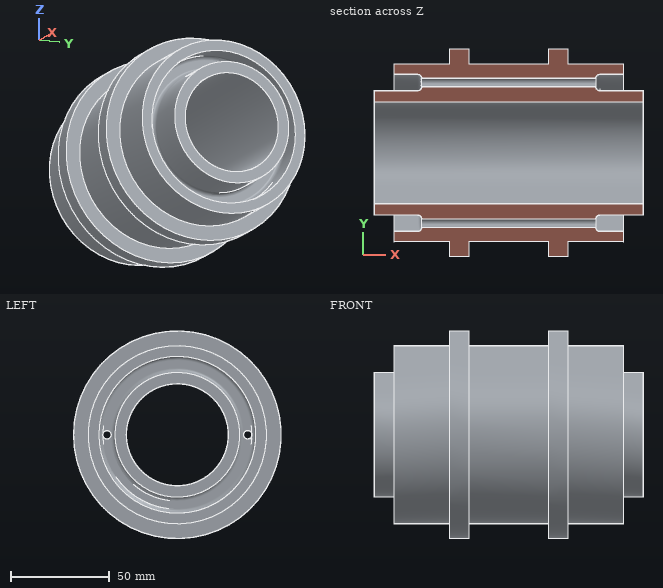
import cadquery as cq

hub_length = 136.0
shell_length = 116.0
flange_width = 10.0
flange_spacing = 50.0
groove_depth = 14.0

bore_diameter = 51.4
hub_diameter = 63.0
groove_outer_diameter = 79.2
shell_diameter = 90.0
flange_diameter = 105.0

hole_diameter = 4.1
groove_width = (groove_outer_diameter - hub_diameter) / 2
fillet_radius = (groove_width - hole_diameter) / 2
hole_circle_radius = (groove_outer_diameter + hub_diameter) / 4


def cylinder(diameter, x_start, length):
    """Solid cylinder about the X axis, growing toward +X."""
    return cq.Workplane("YZ", origin=(x_start, 0, 0)).circle(diameter / 2).extrude(length)


def end_groove(side):
    """Annular cutter for one end of the shell; side is -1 or +1."""
    open_end = side * shell_length / 2
    ring = cylinder(groove_outer_diameter, open_end, -side * groove_depth)
    ring = ring.cut(cylinder(hub_diameter, open_end, -side * groove_depth))
    floor_edges = ring.faces(">X" if side < 0 else "<X").edges()
    return floor_edges.fillet(fillet_radius)


body = cylinder(shell_diameter, -shell_length / 2, shell_length)
body = body.union(cylinder(hub_diameter, -hub_length / 2, hub_length))
for side in (-1, 1):
    flange_start = side * flange_spacing / 2 - flange_width / 2
    body = body.union(cylinder(flange_diameter, flange_start, flange_width))

body = body.cut(cylinder(bore_diameter, -hub_length / 2, hub_length))
for side in (-1, 1):
    body = body.cut(end_groove(side))

for side in (-1, 1):
    hole = cylinder(hole_diameter, -shell_length / 2, shell_length)
    body = body.cut(hole.translate((0, side * hole_circle_radius, 0)))

result = body